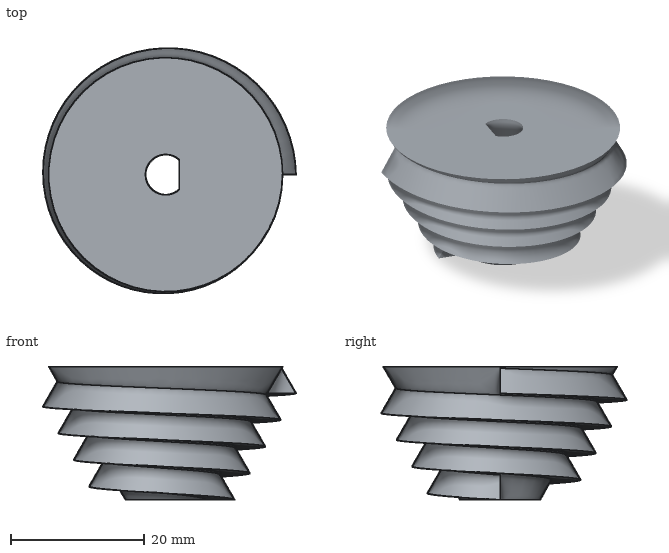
import cadquery as cq
import math

height = 20.0
cone_angle = 30.0
core_bottom_radius = 6.0
thread_turns = 4
thread_base = 4.33
thread_embed = 0.57
bore_radius = 3.0
bore_flat_offset = 2.0

pitch = height / (thread_turns + 1)
slope = math.tan(math.radians(cone_angle))
core_top_radius = core_bottom_radius + height * slope


def make_core():
    """Truncated cone that widens towards the top."""
    profile = [
        (0, 0),
        (core_bottom_radius, 0),
        (core_top_radius, height),
        (0, height),
    ]
    return cq.Workplane("XZ").polyline(profile).close().revolve(360, (0, 0), (0, 1))


def cone_helix(radius, start_z):
    """Left-handed helix that widens parallel to the core."""
    slant = 1 / math.cos(math.radians(cone_angle))
    return cq.Wire.makeHelix(
        pitch * slant,
        thread_turns * pitch * slant,
        radius,
        center=cq.Vector(0, 0, start_z),
        angle=cone_angle,
        lefthand=True,
    ).Edges()[0]


def make_thread():
    """Triangular thread with a level underside and a sloping upper flank."""
    crest_height = thread_base / (2 * slope)
    meeting_radius = core_bottom_radius + thread_base / 2
    section = [
        (core_bottom_radius - thread_embed, 0),
        (core_bottom_radius + thread_base, 0),
        (meeting_radius, crest_height),
        (meeting_radius - thread_embed, crest_height),
    ]
    helices = [cone_helix(radius, z) for radius, z in section]
    faces = []
    for index, helix in enumerate(helices):
        faces.append(cq.Face.makeRuledSurface(helices[index - 1], helix))

    rise = thread_turns * pitch
    for end_z in (0, rise):
        corners = [cq.Vector(radius + end_z * slope, 0, z + end_z) for radius, z in section]
        faces.append(cq.Face.makeFromWires(cq.Wire.makePolygon(corners, close=True)))

    return cq.Workplane(cq.Solid.makeSolid(cq.Shell.makeShell(faces)).fix())


def make_bore():
    """D-shaped through bore with its flat on the +X side."""
    flat_half_width = math.sqrt(bore_radius**2 - bore_flat_offset**2)
    return (
        cq.Workplane("XY")
        .moveTo(bore_flat_offset, -flat_half_width)
        .lineTo(bore_flat_offset, flat_half_width)
        .threePointArc((-bore_radius, 0), (bore_flat_offset, -flat_half_width))
        .close()
        .extrude(height)
    )


result = make_core().union(make_thread()).cut(make_bore())